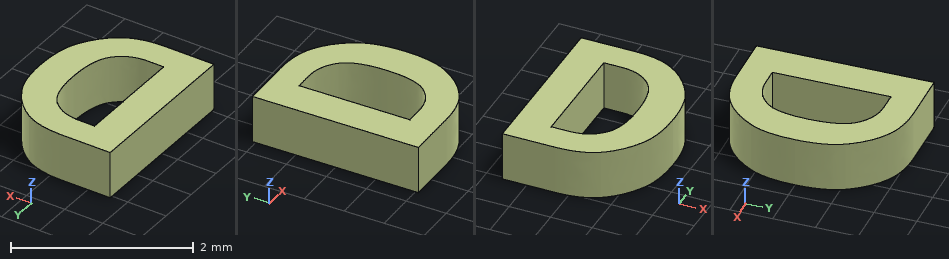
import cadquery as cq

width = 1.59
height = 2.08
thickness = 0.6

stem_width = 0.433
bar_width = 0.347
bowl_width = 0.428

bowl_start = 0.647

outer_top = height / 2
inner_top = outer_top - bar_width
inner_right = width - bowl_width

outer_curves = [
    ((0.946, outer_top), (1.138, 0.921)),
    ((1.344, 0.795), (1.479, 0.551)),
    ((width, 0.354), (width, 0)),
]
inner_curves = [
    ((0.88, inner_top), (1.03, 0.526)),
    ((inner_right, 0.38), (inner_right, 0)),
]


def mirrored(point):
    """Reflect a point across the X axis."""
    x, y = point
    return (x, -y)


def letter_outline(left, top, curves):
    """Closed D outline, symmetric about the X axis, with its bowl on the right."""
    start = (bowl_start, top)
    outline = cq.Workplane("XY").moveTo(left, top).lineTo(*start)
    for control, end in curves:
        outline = outline.bezier([control, end], includeCurrent=True)

    starts = [start] + [end for _, end in curves[:-1]]
    for (control, _), curve_start in zip(reversed(curves), reversed(starts)):
        outline = outline.bezier([mirrored(control), mirrored(curve_start)], includeCurrent=True)
    return outline.lineTo(left, -top).close()


body = letter_outline(0, outer_top, outer_curves).extrude(thickness)
opening = letter_outline(stem_width, inner_top, inner_curves).extrude(thickness)

result = body.cut(opening)